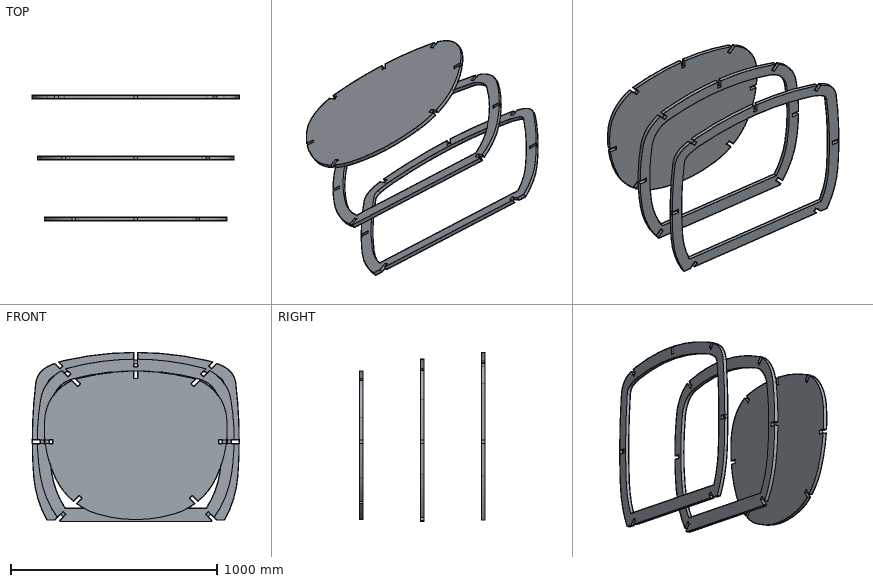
import cadquery as cq
import math


plate_thickness = 18.0
overall_depth = 609.0
plate_pitch = (overall_depth - plate_thickness) / 2

slot_width = 18.0
slot_cut_length = 401.0
side_angle = 0.0
upper_angle = 45.0
top_angle = 90.0
lower_angle = -45.0

ring_width = 57.0
ring_hole_bottom = -321.0
trim_size = 1506.0

outer_top = 434.0
outer_bottom = -380.0
outer_arcs = [(12.9, 1545.0), (14.0, 365.0), (56.3, 105.0), (11.1, 2324.0), (40.7, 512.0)]
outer_slots = {top_angle: 397.0, upper_angle: 511.0, side_angle: 464.0, lower_angle: 506.0}
side_web = 1.0

middle_top = 400.0
middle_bottom = -387.0
middle_arcs = [(14.8, 1259.0), (65.6, 191.0), (18.3, 1150.0), (60.0, 489.0)]
middle_slots = {top_angle: 364.0, upper_angle: 456.0, side_angle: 441.0, lower_angle: 489.0}

panel_top = 343.0
panel_bottom = -377.0
panel_arcs = [(14.4, 1115.0), (70.0, 219.0), (30.7, 559.0), (48.2, 329.0)]
panel_slots = {top_angle: 307.0, upper_angle: 388.0, side_angle: 403.0, lower_angle: 378.0}


def half_outline(top, arcs):
    """Draw the right half of an outline, left open at its lower end."""
    x, z, heading = 0.0, top, 0.0
    outline = cq.Workplane("XZ").moveTo(x, z)
    for sweep, radius in arcs:
        centre_x = x - radius * math.sin(heading)
        centre_z = z - radius * math.cos(heading)
        middle = heading + math.radians(sweep) / 2
        heading += math.radians(sweep)
        x = centre_x + radius * math.sin(heading)
        z = centre_z + radius * math.cos(heading)
        middle_point = (centre_x + radius * math.sin(middle), centre_z + radius * math.cos(middle))
        outline = outline.threePointArc(middle_point, (x, z))
    return outline


def mirrored_plate(outline):
    """Thicken a closed half outline toward -Y and add its mirror image."""
    half = outline.extrude(plate_thickness)
    return half.union(half.mirror("YZ")).clean()


def ring_blank(top, arcs, inset, bottom):
    """Plate inside the ring's outline, moved in by inset and cut off flat at bottom."""
    inner_arcs = [(sweep, radius - inset) for sweep, radius in arcs]
    outline = half_outline(top - inset, inner_arcs)
    plate = mirrored_plate(outline.hLineTo(0).close())
    trim = cq.Workplane("XY").box(trim_size, trim_size, trim_size)
    return plate.cut(trim.translate((0, 0, bottom - trim_size / 2)))


def cut_slots(plate, slots):
    """Cut the radial edge slots, mirrored left and right."""
    for angle, reach in slots.items():
        slot = (
            cq.Workplane("XY")
            .box(slot_cut_length, plate_thickness, slot_width)
            .translate((reach + slot_cut_length / 2, -plate_thickness / 2, 0))
            .rotate((0, 0, 0), (0, -1, 0), angle)
        )
        plate = plate.cut(slot).cut(slot.mirror("YZ"))
    return plate


def make_ring(top, bottom, arcs, slots):
    """Ring of even width, apart from its flat bottom bar."""
    blank = ring_blank(top, arcs, 0, bottom)
    hole = ring_blank(top, arcs, ring_width, ring_hole_bottom)
    return cut_slots(blank.cut(hole), slots)


def add_side_webs(ring):
    """Close the outer ends of the side slots, flush with the widest part of the ring."""
    half_width = ring.val().BoundingBox().xmax
    web = (
        cq.Workplane("XY")
        .box(side_web, plate_thickness, slot_width)
        .translate((half_width - side_web / 2, -plate_thickness / 2, 0))
    )
    return ring.union(web).union(web.mirror("YZ"))


def make_panel():
    """Solid rounded panel."""
    outline = half_outline(panel_top, panel_arcs).tangentArcPoint((0, panel_bottom), relative=False)
    return cut_slots(mirrored_plate(outline.close()), panel_slots)


panel = make_panel()
middle_ring = make_ring(middle_top, middle_bottom, middle_arcs, middle_slots)
middle_ring = middle_ring.translate((0, plate_pitch, 0))
outer_ring = make_ring(outer_top, outer_bottom, outer_arcs, outer_slots)
outer_ring = add_side_webs(outer_ring).translate((0, 2 * plate_pitch, 0))

bodies = [body.solids().val() for body in (outer_ring, middle_ring, panel)]
result = cq.Compound.makeCompound(bodies)